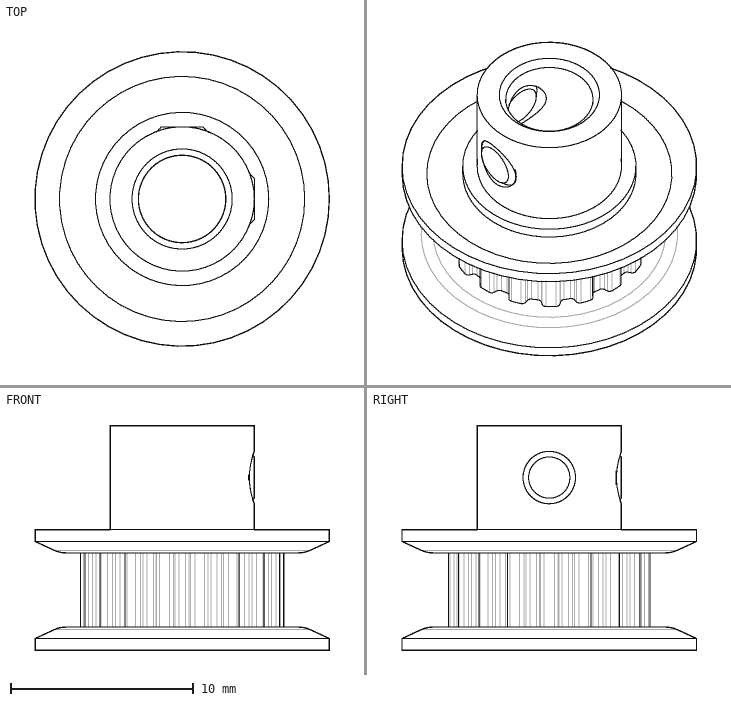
import cadquery as cq
import math

total_height = 12.29
hub_radius = 3.95
collar_radius = 4.75

flange_radius = 8.06
flange_thickness = 0.65
dish_radius = 6.71
dish_depth = 0.63
dish_bend_radius = 1.53
flange_span = 6.6

tooth_count = 18
tip_radius = 5.56
root_radius = 5.1
groove_bottom_width = 0.65
groove_half_angle = 25.0
tooth_round = 0.23

bore_radius = 2.39
bore_chamfer = 0.35

screw_radius = 1.44
screw_chamfer = 0.3
screw_height = 9.45
screw_length = hub_radius - bore_radius


def polar_point(radius, angle):
    """Point at a given radius and angle (radians) around the axis."""
    return (radius * math.cos(angle), radius * math.sin(angle))


def toothed_drum():
    """Drum with straight-sided grooves; a tooth is centred on the X axis."""
    pitch = 2 * math.pi / tooth_count
    bottom_half = groove_bottom_width / 2
    slope = math.tan(math.radians(groove_half_angle))

    offset = bottom_half - slope * root_radius
    flank_reach = math.sqrt(tip_radius**2 * (1 + slope**2) - offset**2)
    top_u = (flank_reach - slope * offset) / (1 + slope**2)
    top_angle = math.atan2(offset + slope * top_u, top_u)
    bottom_angle = math.atan2(bottom_half, root_radius)
    bottom_radius = math.hypot(bottom_half, root_radius)

    profile = cq.Workplane("XY").moveTo(*polar_point(tip_radius, top_angle - pitch / 2))
    for tooth in range(tooth_count):
        tip = tooth * pitch
        groove = tip + pitch / 2
        profile = (
            profile
            .threePointArc(polar_point(tip_radius, tip), polar_point(tip_radius, groove - top_angle))
            .lineTo(*polar_point(bottom_radius, groove - bottom_angle))
            .lineTo(*polar_point(bottom_radius, groove + bottom_angle))
        )
        if tooth < tooth_count - 1:
            profile = profile.lineTo(*polar_point(tip_radius, groove + top_angle))
    drum = profile.close().extrude(flange_span - 2 * dish_depth)
    return drum.edges("|Z").fillet(tooth_round).translate((0, 0, dish_depth))


def lower_flange():
    """Flange with its rim face at z = 0 and its dished middle raised toward the teeth."""
    bend_height = flange_thickness + dish_depth
    section = (
        cq.Workplane("XZ")
        .moveTo(0, dish_depth)
        .lineTo(dish_radius, dish_depth)
        .lineTo(flange_radius, 0)
        .lineTo(flange_radius, flange_thickness)
        .lineTo(dish_radius, bend_height)
        .lineTo(0, bend_height)
        .close()
    )
    flange = section.revolve(360, (0, 0, 0), (0, 1, 0))
    return flange.faces(">Z").edges().fillet(dish_bend_radius)


def set_screw():
    """Plain screw along +X, chamfered at both ends and reaching from the bore to the hub surface."""
    return (
        cq.Workplane("YZ", origin=(bore_radius, 0, screw_height))
        .circle(screw_radius)
        .extrude(screw_length)
        .faces("<X or >X")
        .chamfer(screw_chamfer)
    )


def screw_hole():
    """Clearance along +X from the axis through one side of the hub."""
    return (
        cq.Workplane("YZ", origin=(0, 0, screw_height))
        .circle(screw_radius)
        .extrude(hub_radius)
    )


flange = lower_flange()
upper_flange = flange.mirror("XY").translate((0, 0, flange_span))
collar = cq.Workplane("XY").circle(collar_radius).extrude(flange_span)
hub = cq.Workplane("XY").circle(hub_radius).extrude(total_height)
bore = cq.Workplane("XY").circle(bore_radius).extrude(total_height)

pulley = toothed_drum().union(flange).union(upper_flange).union(collar).union(hub)
pulley = pulley.cut(bore)
bore_mouth = pulley.faces(">Z").edges(cq.selectors.RadiusNthSelector(0))
pulley = bore_mouth.chamfer(bore_chamfer)

screw = set_screw()
for direction in (0, 90):
    pulley = pulley.cut(screw_hole().rotate((0, 0, 0), (0, 0, 1), direction))
    pulley = pulley.union(screw.rotate((0, 0, 0), (0, 0, 1), direction))

result = pulley